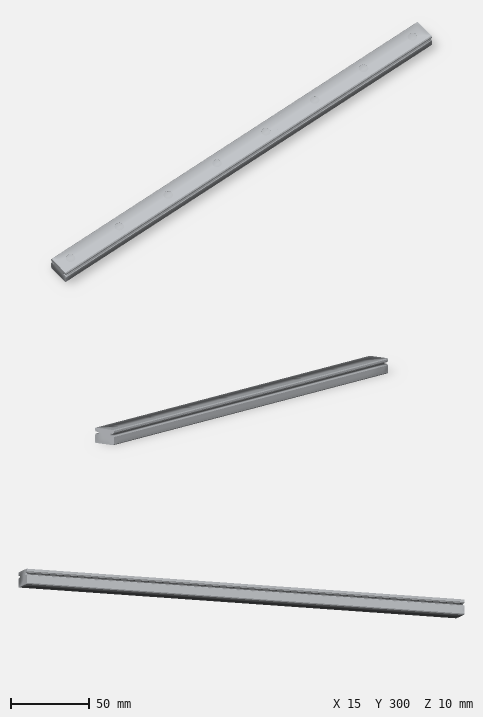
import cadquery as cq

length = 300
width = 15
height = 10.0

top_bevel = 0.5
bottom_bevel = 0.5

track_height = 2.7
track_depth = 1.0
track_top_land = 1.8
track_center_z = height - track_top_land - track_height / 2
relief_height = 1.2
relief_depth = 2.7

hole_diameter = 6
hole_count = 8
end_distance = 10.0
hole_pitch = (length - 2 * end_distance) / (hole_count - 1)
cap_recess = 0.15


def make_bar():
    """Bevelled bar, centred in X and Y and standing on Z = 0."""
    bar = cq.Workplane("XY").box(width, length, height, centered=(True, True, False))
    bar = bar.edges("|Y and >Z").chamfer(top_bevel)
    return bar.edges("|Y and <Z").chamfer(bottom_bevel)


def make_track(side):
    """Cutter for the arc-shaped track and relief slot on one side (side is -1 or 1)."""
    face_x = side * width / 2
    track_top = track_center_z + track_height / 2
    track_bottom = track_center_z - track_height / 2
    end_plane = cq.Workplane("XZ", origin=(0, length / 2, 0))
    track = (
        end_plane.moveTo(face_x, track_bottom)
        .threePointArc((face_x - side * track_depth, track_center_z), (face_x, track_top))
        .close()
        .extrude(length)
    )
    relief = (
        end_plane.center(face_x - side * relief_depth / 2, track_center_z)
        .rect(relief_depth, relief_height)
        .extrude(length)
    )
    return track.union(relief)


def make_hole_recesses():
    """Shallow round recesses in one row along the middle of the top face."""
    return (
        cq.Workplane("XY", origin=(0, 0, height - cap_recess))
        .rarray(3, hole_pitch, 1, hole_count)
        .circle(hole_diameter / 2)
        .extrude(cap_recess)
    )


result = make_bar()
for side in (-1, 1):
    result = result.cut(make_track(side))
result = result.cut(make_hole_recesses())